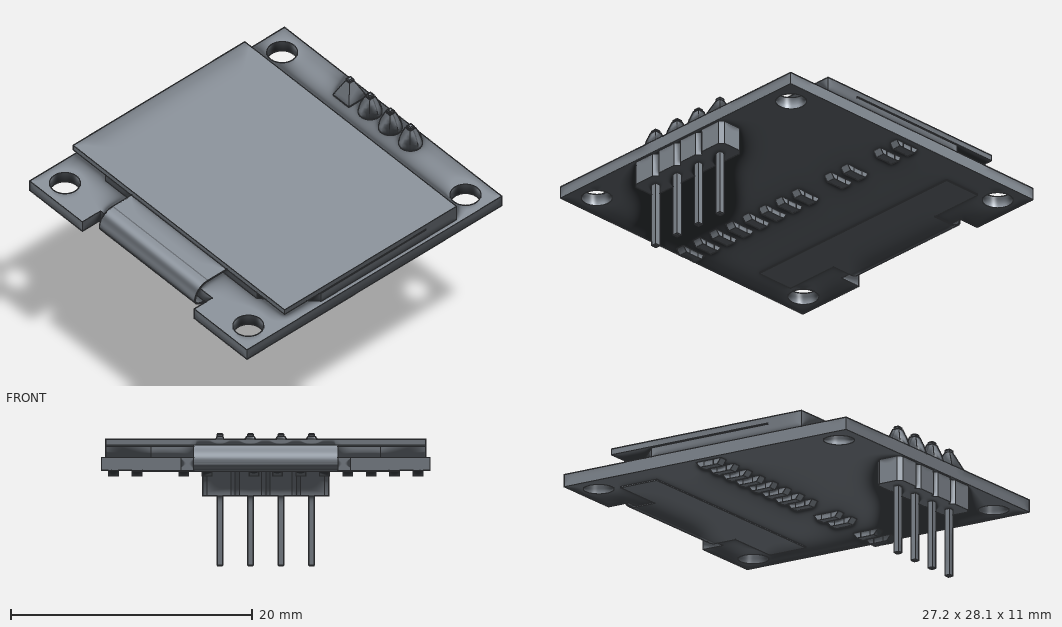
import cadquery as cq
import math


BOARD_X = 27.25
BOARD_Y = 28.15
BOARD_T = 1.07
MOUNT_HOLE_D = 2.55
MOUNT_PITCH_X = 23.0
MOUNT_PITCH_Y = 24.0
MOUNT_CENTRE_Y = -0.05
SLOT_X = 14.02
SLOT_DEPTH = 2.0

PIN_COUNT = 4
PIN_PITCH = 2.53
PIN_Y = 12.65
PIN_W = 0.48
PIN_TOP_Z = 3.07
PIN_LENGTH = 11.0
PIN_TIP_CHAMFER = 0.08
SHROUD_END_EXTRA = 0.17
SHROUD_Y = 2.48
SHROUD_H = 2.1
SHROUD_CHAMFER = 0.37

PAD_T = 0.08
SOLDER_BASE = 2.0
SOLDER_TIP = 0.62
SOLDER_H = 1.65
SOLDER_MID_D = 1.58

RESISTOR_PLACES = 14
EMPTY_PLACES = (2, 5)
RESISTOR_PITCH = 1.95
RESISTOR_Y = -0.05
RESISTOR_LENGTH = 1.72
RESISTOR_W = 0.82
RESISTOR_H = 0.48
RESISTOR_BODY_LENGTH = 0.93
RESISTOR_BODY_INSET = 0.03
SOLDERED_LENGTH = 2.48

GLASS_X = 26.55
GLASS_BACK_Y = 9.38
GLASS_FRONT_Y = -9.6
LOWER_GLASS_H = 0.9
UPPER_GLASS_T = 0.5
UPPER_GLASS_OVERHANG = 0.25
LOWER_GLASS_CHAMFER = 3.77
GAP_BACK_Y = 6.0

CABLE_X = 11.95
CABLE_T = 0.1
CABLE_BEND_R = 1.46
CABLE_BEND_Y = -11.65
TAIL_X = 22.15
TAIL_BACK_Y = -6.53
TAIL_FRONT_Y = -10.15

board_front_y = -BOARD_Y / 2
slot_edge_y = board_front_y + SLOT_DEPTH
gap_bottom_z = BOARD_T + LOWER_GLASS_H
gap_top_z = gap_bottom_z + CABLE_T
solder_base_z = BOARD_T + PAD_T
glass_top_z = gap_top_z + UPPER_GLASS_T
pin_xs = [(i - (PIN_COUNT - 1) / 2) * PIN_PITCH for i in range(PIN_COUNT)]
resistor_xs = [
    (place - (RESISTOR_PLACES - 1) / 2) * RESISTOR_PITCH
    for place in range(RESISTOR_PLACES)
    if place not in EMPTY_PLACES
]


def block(x_size, y_min, y_max, z_min, z_max):
    """Box centred on X = 0 between the given Y and Z limits."""
    return (
        cq.Workplane("XY", origin=(0, (y_min + y_max) / 2, z_min))
        .box(x_size, y_max - y_min, z_max - z_min, centered=(True, True, False))
    )


def make_bare_board():
    """Plate with four mounting holes and the cable slot in its front edge."""
    plate = block(BOARD_X, board_front_y, BOARD_Y / 2, 0, BOARD_T)
    holes = (
        cq.Workplane("XY", origin=(0, MOUNT_CENTRE_Y, 0))
        .rarray(MOUNT_PITCH_X, MOUNT_PITCH_Y, 2, 2)
        .circle(MOUNT_HOLE_D / 2)
        .extrude(BOARD_T)
    )
    slot = block(SLOT_X, board_front_y, slot_edge_y, 0, BOARD_T)
    return plate.cut(holes).cut(slot)


def make_shroud():
    """Header bar with chamfered ends and a pair of V notches between neighbouring pins."""
    length = PIN_COUNT * PIN_PITCH + 2 * SHROUD_END_EXTRA
    bar = block(length, PIN_Y - SHROUD_Y / 2, PIN_Y + SHROUD_Y / 2, -SHROUD_H, 0)
    bar = bar.edges("|Z").chamfer(SHROUD_CHAMFER)
    notch_side = SHROUD_CHAMFER * math.sqrt(2)
    for left_x, right_x in zip(pin_xs, pin_xs[1:]):
        for side in (-1, 1):
            notch = (
                cq.Workplane("XY")
                .rect(notch_side, notch_side)
                .extrude(-SHROUD_H)
                .rotate((0, 0, 0), (0, 0, 1), 45)
                .translate(((left_x + right_x) / 2, PIN_Y + side * SHROUD_Y / 2, 0))
            )
            bar = bar.cut(notch)
    return bar


def make_pin(x):
    """Square pin with both ends chamfered."""
    return (
        cq.Workplane("XY", origin=(x, PIN_Y, PIN_TOP_Z))
        .rect(PIN_W, PIN_W)
        .extrude(-PIN_LENGTH)
        .faces("<Z or >Z")
        .chamfer(PIN_TIP_CHAMFER)
    )


def make_solder_pyramid(x):
    """Square tapered solder joint on its square pad."""
    return (
        cq.Workplane("XY", origin=(x, PIN_Y, solder_base_z))
        .rect(SOLDER_BASE, SOLDER_BASE)
        .workplane(offset=SOLDER_H)
        .rect(PIN_W, PIN_W)
        .loft()
        .faces("<Z")
        .wires()
        .toPending()
        .workplane()
        .extrude(PAD_T)
    )


def make_solder_cone(x):
    """Solder joint with bulging sides that blend from its round pad to a square tip."""
    pad = (
        cq.Workplane("XY", origin=(x, PIN_Y, BOARD_T))
        .circle(SOLDER_BASE / 2)
        .extrude(PAD_T)
    )
    dome = (
        cq.Workplane("XY", origin=(x, PIN_Y, solder_base_z))
        .circle(SOLDER_BASE / 2)
        .workplane(offset=SOLDER_H / 2)
        .circle(SOLDER_MID_D / 2)
        .workplane(offset=SOLDER_H / 2)
        .rect(SOLDER_TIP, SOLDER_TIP)
        .loft()
    )
    return pad.union(dome)


def make_resistor(x):
    """Chip resistor: a body between two slightly wider terminals with sloping solder ends."""
    half_base = SOLDERED_LENGTH / 2
    half_length = RESISTOR_LENGTH / 2
    chip = (
        cq.Workplane("YZ", origin=(x - RESISTOR_W / 2, RESISTOR_Y, 0))
        .polyline([
            (-half_base, 0),
            (-half_length, -RESISTOR_H),
            (half_length, -RESISTOR_H),
            (half_base, 0),
        ])
        .close()
        .extrude(RESISTOR_W)
    )
    for side in (-1, 1):
        side_inset = (
            cq.Workplane("XY", origin=(x + side * RESISTOR_W / 2, RESISTOR_Y, 0))
            .rect(2 * RESISTOR_BODY_INSET, RESISTOR_BODY_LENGTH)
            .extrude(-RESISTOR_H)
        )
        chip = chip.cut(side_inset)
    return chip


def make_board():
    """Circuit board with its soldered header and resistors, as one solid."""
    board = make_bare_board().union(make_shroud())
    for x in pin_xs:
        board = board.union(make_pin(x))
    board = board.union(make_solder_pyramid(pin_xs[0]))
    for x in pin_xs[1:]:
        board = board.union(make_solder_cone(x))
    for x in resistor_xs:
        board = board.union(make_resistor(x))
    return board


def make_glass():
    """Upper glass over a lower glass with chamfered front corners, split by a thin front gap."""
    lower_front_y = GLASS_FRONT_Y + UPPER_GLASS_OVERHANG
    lower = block(GLASS_X, lower_front_y, GLASS_BACK_Y, BOARD_T, gap_bottom_z)
    lower = lower.edges("|Z and <Y").chamfer(LOWER_GLASS_CHAMFER)
    joint = block(GLASS_X, GAP_BACK_Y, GLASS_BACK_Y, gap_bottom_z, gap_top_z)
    upper = block(GLASS_X, GLASS_FRONT_Y, GLASS_BACK_Y, gap_top_z, glass_top_z)
    return lower.union(joint).union(upper)


def make_cable():
    """Cable from the glass gap, round through the slot, to a wide tail under the board.

    The return bend is a quarter ellipse that starts level at the slot's edge.
    """
    bend_z = gap_top_z - CABLE_BEND_R
    outer_y = CABLE_BEND_Y - CABLE_BEND_R
    inner_r = CABLE_BEND_R - CABLE_T
    return_outer_y = slot_edge_y - outer_y
    return_outer_z = bend_z + CABLE_T
    strip = (
        cq.Workplane("YZ", origin=(-CABLE_X / 2, 0, 0))
        .moveTo(GAP_BACK_Y, gap_top_z)
        .lineTo(CABLE_BEND_Y, gap_top_z)
        .radiusArc((outer_y, bend_z), -CABLE_BEND_R)
        .ellipseArc(return_outer_y, return_outer_z, 180, 270, startAtCurrent=True)
        .lineTo(TAIL_FRONT_Y, -CABLE_T)
        .lineTo(TAIL_FRONT_Y, 0)
        .lineTo(slot_edge_y, 0)
        .ellipseArc(return_outer_y - CABLE_T, bend_z, 180, 270, sense=-1, startAtCurrent=True)
        .radiusArc((CABLE_BEND_Y, gap_bottom_z), inner_r)
        .lineTo(GAP_BACK_Y, gap_bottom_z)
        .close()
        .extrude(CABLE_X)
    )
    tail = block(TAIL_X, TAIL_FRONT_Y, TAIL_BACK_Y, -CABLE_T, 0)
    return strip.union(tail)


board = make_board()
display = make_glass().union(make_cable())

result = cq.Compound.makeCompound([board.solids().val(), display.solids().val()])